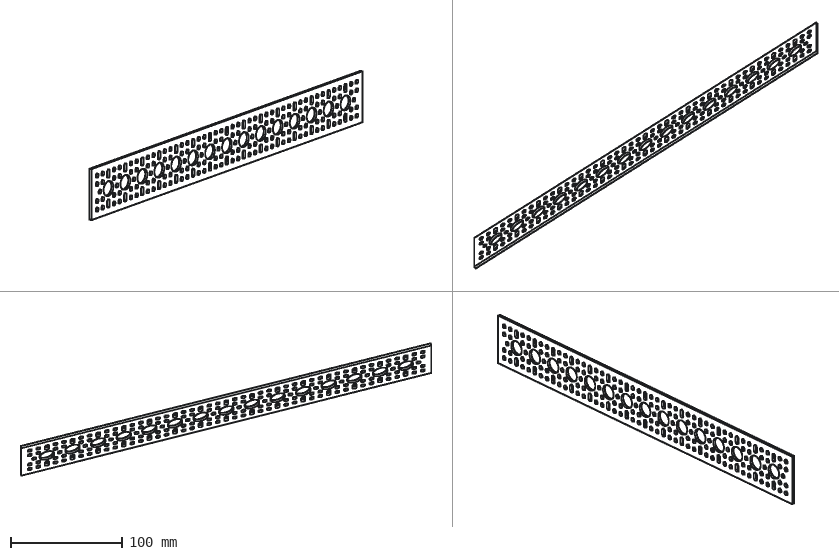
import cadquery as cq

length = 384.0
height = 48.0
thickness = 2.5

grid = height / 6
column_count = round(length / grid) - 1
columns_per_large_hole = 3
large_hole_pitch = columns_per_large_hole * grid
large_hole_count = round(length / large_hole_pitch) - 1

large_hole_diameter = 14.0
small_hole_diameter = 4.0

inner_row = grid
outer_row = 2 * grid

slot_travel = grid / 2
slot_length = slot_travel + small_hole_diameter
slot_center = outer_row - slot_travel / 2
slot_angle = 90


def centered_positions(count, pitch):
    """Evenly spaced Y positions, symmetric about the middle of the plate."""
    return [(i - (count - 1) / 2) * pitch for i in range(count)]


def grid_points(columns, rows):
    return [(y, z) for y in columns for z in rows]


def round_cutters(points, diameter):
    """Round bars through the full thickness of the plate."""
    return face_plane().pushPoints(points).circle(diameter / 2).extrude(thickness / 2, both=True)


def slot_cutters(points):
    """Upright round-ended bars through the full thickness of the plate."""
    slots = face_plane().pushPoints(points).slot2D(slot_length, small_hole_diameter, slot_angle)
    return slots.extrude(thickness / 2, both=True)


def face_plane():
    return cq.Workplane("YZ")


all_columns = centered_positions(column_count, grid)
large_hole_columns = centered_positions(large_hole_count, large_hole_pitch)
small_hole_columns = [
    y for i, y in enumerate(all_columns, start=1) if i % columns_per_large_hole != 0
]

midway_columns = centered_positions(large_hole_count + 1, large_hole_pitch)

small_hole_rows = [-outer_row, -inner_row, inner_row, outer_row]
small_hole_points = grid_points(small_hole_columns, small_hole_rows) + grid_points(midway_columns, [0])
large_hole_points = grid_points(large_hole_columns, [0])
slot_points = grid_points(large_hole_columns, [-slot_center, slot_center])

plate = cq.Workplane("XY").box(thickness, length, height)
result = (
    plate.cut(round_cutters(large_hole_points, large_hole_diameter))
    .cut(round_cutters(small_hole_points, small_hole_diameter))
    .cut(slot_cutters(slot_points))
)